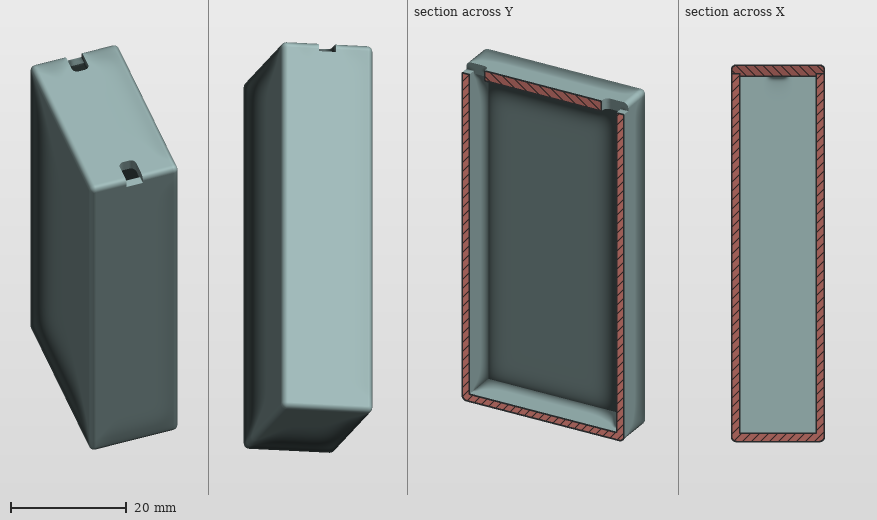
import cadquery as cq

WIDTH = 32.2
DEPTH = 16.2
HEIGHT = 65.2

WALL = 1.5
EDGE_RADIUS = 1.0

LID_THICKNESS = 1.5
LIP_DEPTH = 0.5
NOTCH_LENGTH = 4.5
NOTCH_WIDTH = 3.0
NOTCH_CORNER_RADIUS = 1.0

BOX_HEIGHT = HEIGHT - LID_THICKNESS
CAVITY_WIDTH = WIDTH - 2 * WALL
CAVITY_DEPTH = DEPTH - 2 * WALL
LIP_BOTTOM = BOX_HEIGHT - LIP_DEPTH


def rounded_block(height, base_z, end_face):
    """Block with rounded upright edges and a rounded rim around one end face."""
    block = cq.Workplane("XY").workplane(offset=base_z).rect(WIDTH, DEPTH).extrude(height)
    return block.edges("|Z").fillet(EDGE_RADIUS).faces(end_face).edges().fillet(EDGE_RADIUS)


def make_box():
    """Open-topped box, rounded below, with a plain rectangular cavity."""
    cavity = (
        cq.Workplane("XY")
        .workplane(offset=WALL)
        .rect(CAVITY_WIDTH, CAVITY_DEPTH)
        .extrude(BOX_HEIGHT - WALL)
    )
    return rounded_block(BOX_HEIGHT, 0, "<Z").cut(cavity)


def make_lip():
    """Shallow plug under the lid that fills the mouth of the cavity."""
    return cq.Workplane("XY").workplane(offset=LIP_BOTTOM).rect(CAVITY_WIDTH, CAVITY_DEPTH).extrude(LIP_DEPTH)


def make_notch(side):
    """Cutter for one notch: open at the lid's side, rounded at its inner corners."""
    return (
        cq.Workplane("XY")
        .workplane(offset=LIP_BOTTOM)
        .center(side * WIDTH / 2, 0)
        .rect(2 * NOTCH_LENGTH, NOTCH_WIDTH)
        .extrude(HEIGHT - LIP_BOTTOM)
        .edges("|Z")
        .fillet(NOTCH_CORNER_RADIUS)
    )


def make_lid():
    """Lid with a locating lip, rounded above, with a notch through the middle of each short side."""
    lid = rounded_block(LID_THICKNESS, BOX_HEIGHT, ">Z").union(make_lip())
    for side in (-1, 1):
        lid = lid.cut(make_notch(side))
    return lid


box = make_box()
lid = make_lid()

result = cq.Compound.makeCompound([box.val(), lid.val()])